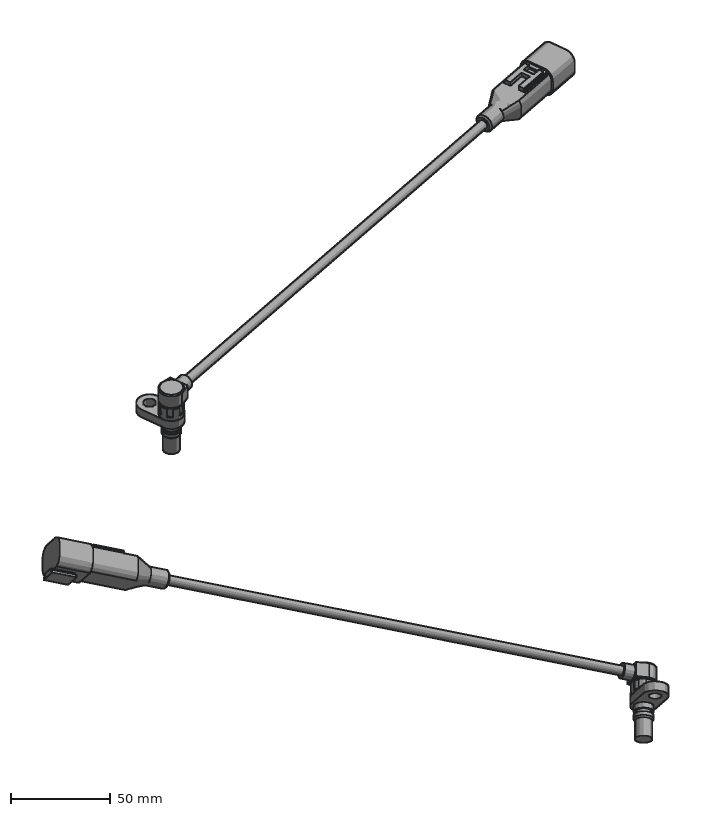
import cadquery as cq


pin_diameter = 8.8
seal_collar_diameter = 10.0
seal_groove_diameter = 8.0
pin_shoulder_z = 10.0
seal_collar_z = 11.2
seal_groove_bottom_z = 13.2
seal_groove_top_z = 15.3

flange_bottom_z = 18.3
flange_thickness = 5.0
flange_top_z = flange_bottom_z + flange_thickness
flange_radius = 6.8
bolt_hole_x = -13.5
bolt_hole_diameter = 6.5

head_diameter = 13.2
head_groove_diameter = 12.2
head_groove_bottom_z = 31.0
head_groove_top_z = 31.5
head_top_z = 40.0
head_chamfer = 0.7

window_count = 6
window_width = 3.0
window_depth = 1.0
window_bottom_z = 25.5

outlet_front_half_width = 6.8
outlet_back_half_width = 5.5
outlet_bottom_z = head_groove_top_z

cable_z = 35.5
cable_diameter = 5.0
sensor_sleeve_diameter = 8.0
sensor_sleeve_end_y = 12.2
plug_sleeve_diameter = 9.8
plug_sleeve_chamfer = 1.0
plug_sleeve_start_y = 266.0

taper_start_y = 277.0
rear_body_start_y = 286.0
front_body_start_y = 311.8
front_body_end_y = 330.5
plug_end_y = 332.0

corner_center_x = 4.0
corner_center_z = 2.55
front_corner_radius = 6.0
rear_corner_radius = 5.0
front_body_top_z = 44.0
front_body_bottom_z = 27.5
rear_body_top_z = 41.7
rear_body_bottom_z = 28.5

latch_start_y = 292.8
latch_base_half_width = 6.6
latch_base_top_z = 43.0
latch_rail_half_width = 5.93
latch_rail_end_y = 309.5
latch_slot_half_width = 2.55
latch_slot_end_y = 302.3
latch_pocket_half_width = 3.0
latch_pocket_start_y = 307.0
latch_ramp_start_y = 305.0

tab_start_y = 318.5
tab_half_width = 5.0
tab_neck_half_width = 3.5
tab_bottom_z = 24.5
tab_plate_thickness = 1.5


def upright_cylinder(diameter, bottom_z, top_z):
    return cq.Workplane("XY", origin=(0, 0, bottom_z)).circle(diameter / 2).extrude(top_z - bottom_z)


def cable_cylinder(diameter, start_y, end_y):
    plane = cq.Plane(origin=(0, start_y, cable_z), xDir=(1, 0, 0), normal=(0, 1, 0))
    return cq.Workplane(plane).circle(diameter / 2).extrude(end_y - start_y)


def centered_box(half_width, start_y, end_y, bottom_z, top_z):
    size = (2 * half_width, end_y - start_y, top_z - bottom_z)
    return cq.Workplane("XY", origin=(0, start_y, bottom_z)).box(*size, centered=(True, False, False))


def plug_body(corner_radius, start_y, end_y, bottom_z, top_z):
    """Rounded bar about the cable axis with its top and bottom cut flat."""
    half_width = corner_center_x + corner_radius
    half_height = corner_center_z + corner_radius
    bar = centered_box(half_width, start_y, end_y, cable_z - half_height, cable_z + half_height)
    bar = bar.edges("|Y").fillet(corner_radius)
    return bar.intersect(centered_box(half_width, start_y, end_y, bottom_z, top_z))


def make_pin():
    pin = upright_cylinder(pin_diameter, 0, pin_shoulder_z)
    shoulder = (
        cq.Workplane("XY", origin=(0, 0, pin_shoulder_z))
        .circle(pin_diameter / 2)
        .workplane(offset=seal_collar_z - pin_shoulder_z)
        .circle(seal_collar_diameter / 2)
        .loft()
    )
    collar = upright_cylinder(seal_collar_diameter, seal_collar_z, seal_groove_bottom_z)
    groove = upright_cylinder(seal_groove_diameter, seal_groove_bottom_z, seal_groove_top_z)
    neck = upright_cylinder(seal_collar_diameter, seal_groove_top_z, flange_bottom_z)
    return pin.union(shoulder).union(collar).union(groove).union(neck)


def make_flange():
    flange = (
        cq.Workplane("XY", origin=(bolt_hole_x / 2, 0, flange_bottom_z))
        .slot2D(abs(bolt_hole_x) + 2 * flange_radius, 2 * flange_radius)
        .extrude(flange_thickness)
    )
    return flange.faces(">Z").workplane(origin=(bolt_hole_x, 0, flange_top_z)).hole(bolt_hole_diameter)


def make_head():
    head = upright_cylinder(head_diameter, flange_top_z, head_groove_bottom_z)
    window_height = head_groove_bottom_z - window_bottom_z
    for index in range(window_count):
        window = (
            cq.Workplane("XY", origin=(head_diameter / 2, 0, window_bottom_z))
            .box(2 * window_depth, window_width, window_height, centered=(True, True, False))
            .rotate((0, 0, 0), (0, 0, 1), index * 360 / window_count)
        )
        head = head.cut(window)
    groove = upright_cylinder(head_groove_diameter, head_groove_bottom_z, head_groove_top_z)
    cap = upright_cylinder(head_diameter, head_groove_top_z, head_top_z)
    cap = cap.faces(">Z").chamfer(head_chamfer)
    return head.union(groove).union(cap).union(make_outlet())


def make_outlet():
    head_radius = head_diameter / 2
    outline = [
        (-outlet_front_half_width, 0),
        (-outlet_back_half_width, head_radius),
        (outlet_back_half_width, head_radius),
        (outlet_front_half_width, 0),
    ]
    height = head_top_z - head_chamfer - outlet_bottom_z
    return cq.Workplane("XY", origin=(0, 0, outlet_bottom_z)).polyline(outline).close().extrude(height)


def make_cable():
    cable = cable_cylinder(cable_diameter, 0, taper_start_y)
    sleeve = cable_cylinder(sensor_sleeve_diameter, 0, sensor_sleeve_end_y)
    plug_sleeve = cable_cylinder(plug_sleeve_diameter, plug_sleeve_start_y, taper_start_y)
    plug_sleeve = plug_sleeve.faces("<Y").chamfer(plug_sleeve_chamfer)
    return cable.union(sleeve).union(plug_sleeve)


def make_taper(rear_body):
    """Transition from the round sleeve to the outline of the rear body."""
    sleeve_plane = cq.Plane(origin=(0, taper_start_y, cable_z), xDir=(1, 0, 0), normal=(0, 1, 0))
    sleeve_wire = cq.Workplane(sleeve_plane).circle(plug_sleeve_diameter / 2).wires().val()
    body_wire = rear_body.faces("<Y").wires().val()
    return cq.Workplane(cq.Solid.makeLoft([sleeve_wire, body_wire], True))


def make_latch_pocket():
    """Pocket behind the crossbar, with a ramp rising towards the slot."""
    side_outline = [
        (latch_ramp_start_y, front_body_top_z),
        (latch_pocket_start_y, rear_body_top_z),
        (latch_rail_end_y, rear_body_top_z),
        (latch_rail_end_y, front_body_top_z),
    ]
    return cq.Workplane("YZ").polyline(side_outline).close().extrude(latch_pocket_half_width, both=True)


def make_latch():
    base = centered_box(
        latch_base_half_width, latch_start_y, front_body_start_y, cable_z, latch_base_top_z
    )
    rails = centered_box(
        latch_rail_half_width, latch_start_y, latch_rail_end_y, cable_z, front_body_top_z
    )
    slot = centered_box(
        latch_slot_half_width, latch_start_y, latch_slot_end_y, rear_body_top_z, front_body_top_z
    )
    return base.union(rails).cut(slot).cut(make_latch_pocket())


def make_tab():
    plate_top_z = tab_bottom_z + tab_plate_thickness
    plate = centered_box(tab_half_width, tab_start_y, plug_end_y, tab_bottom_z, plate_top_z)
    neck = centered_box(tab_neck_half_width, tab_start_y, plug_end_y, plate_top_z, front_body_bottom_z)
    return plate.union(neck)


def make_plug():
    rear_body = plug_body(
        rear_corner_radius, rear_body_start_y, front_body_start_y, rear_body_bottom_z, rear_body_top_z
    )
    front_body = plug_body(
        front_corner_radius, front_body_start_y, front_body_end_y, front_body_bottom_z, front_body_top_z
    )
    taper = make_taper(rear_body)
    return rear_body.union(front_body).union(taper).union(make_latch()).union(make_tab())


sensor = make_pin().union(make_flange()).union(make_head())
result = sensor.union(make_cable()).union(make_plug())